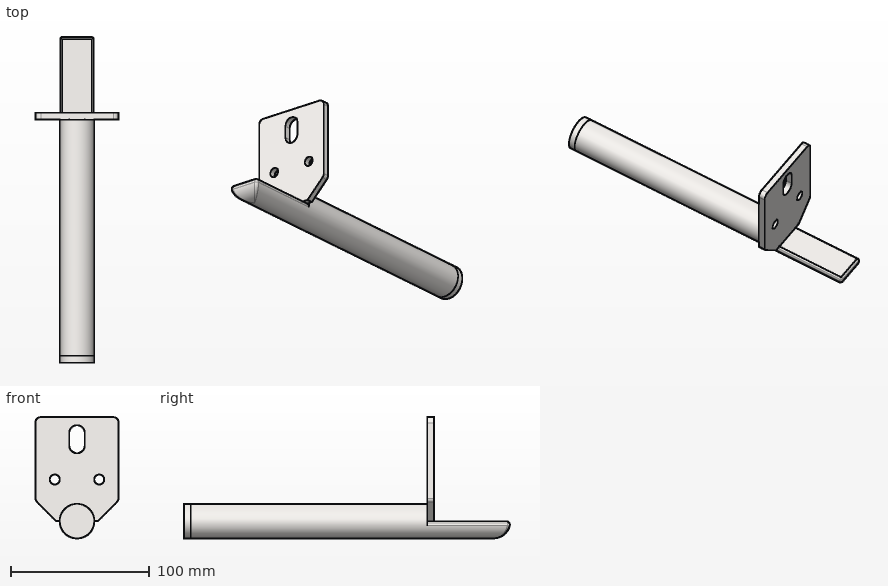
import cadquery as cq
import math

bar_diameter = 25.0
bar_radius = bar_diameter / 2
handle_length = 175.0
tongue_length = 60.0
tongue_nose_fillet = 2.1
tongue_rim_chamfer = 2.0
tongue_rim_fillet = 2.0

cap_thickness = 5.0

plate_width = 60.0
plate_height = 75.0
plate_thickness = 5.0
plate_corner_radius = 4.0
plate_bevel = 15.0

slot_width = 11.0
slot_length = 20.0
slot_height = 59.0
hole_diameter = 7.0
hole_spacing = 32.0
hole_height = 30.0


def round_rod(front_y, length):
    """Solid cylinder along +Y, centred on the bar axis."""
    rod = cq.Solid.makeCylinder(bar_radius, length, cq.Vector(0, front_y, 0), cq.Vector(0, 1, 0))
    return cq.Workplane(obj=rod)


def make_tongue():
    """Half-round tongue with a flat top on the bar axis and a nose that curves up to its tip."""
    nose_start = tongue_length - bar_radius
    arc_offset = bar_radius * math.sqrt(0.5)
    side_profile = (
        cq.Workplane("YZ")
        .lineTo(tongue_length, 0)
        .threePointArc((nose_start + arc_offset, -arc_offset), (nose_start, -bar_radius))
        .lineTo(0, -bar_radius)
        .close()
        .extrude(bar_radius, both=True)
    )
    tongue = round_rod(0, tongue_length).intersect(side_profile)
    tongue = tongue.edges("%ELLIPSE").fillet(tongue_nose_fillet)
    tongue = tongue.faces(">Z").edges("not <Y").chamfer(tongue_rim_chamfer)
    return tongue.edges("|X").edges(">Y").fillet(tongue_rim_fillet)


def make_bar():
    """Full round handle and half-round tongue in one piece."""
    handle = round_rod(cap_thickness - handle_length, handle_length - cap_thickness)
    return handle.union(make_tongue())


def make_cap():
    """Disc that closes the free end of the handle."""
    return round_rod(-handle_length, cap_thickness)


def make_plate():
    """Upright plate standing on the flat of the tongue."""
    half_width = plate_width / 2
    bottom_half_width = half_width - plate_bevel
    plate = (
        cq.Workplane("XZ")
        .moveTo(-bottom_half_width, 0)
        .lineTo(bottom_half_width, 0)
        .lineTo(half_width, plate_bevel)
        .lineTo(half_width, plate_height)
        .lineTo(-half_width, plate_height)
        .lineTo(-half_width, plate_bevel)
        .close()
        .extrude(-plate_thickness)
    )
    plate = plate.edges("|Y and (<X or >X)").fillet(plate_corner_radius)
    slot = (
        cq.Workplane("XZ")
        .center(0, slot_height)
        .slot2D(slot_length, slot_width, 90)
        .extrude(-plate_thickness)
    )
    holes = (
        cq.Workplane("XZ")
        .center(0, hole_height)
        .rarray(hole_spacing, 1, 2, 1)
        .circle(hole_diameter / 2)
        .extrude(-plate_thickness)
    )
    return plate.cut(slot).cut(holes)


bar = make_bar()
cap = make_cap()
plate = make_plate()

result = cq.Compound.makeCompound([bar.solids().val(), cap.solids().val(), plate.solids().val()])